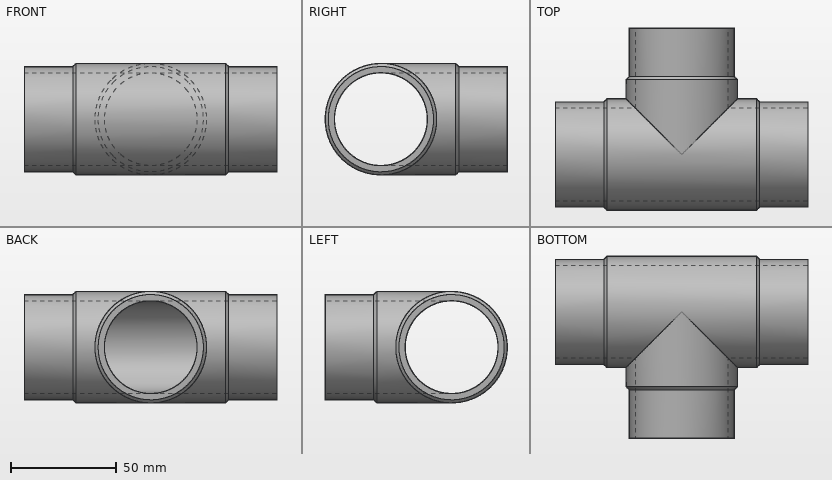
import cadquery as cq

end_reach = 60.0
body_radius = 26.5
spigot_radius = 25.0
bore_radius = 22.0
spigot_length = 23.0

shoulder_length = body_radius - spigot_radius
spigot_start = end_reach - spigot_length
body_end = spigot_start - shoulder_length


def run_outside():
    """Solid run along X, with a shoulder and spigot at both ends."""
    profile = [
        (-end_reach, 0),
        (-end_reach, spigot_radius),
        (-spigot_start, spigot_radius),
        (-body_end, body_radius),
        (body_end, body_radius),
        (spigot_start, spigot_radius),
        (end_reach, spigot_radius),
        (end_reach, 0),
    ]
    return cq.Workplane("XY").polyline(profile).close().revolve(360, (0, 0, 0), (1, 0, 0))


def branch_outside():
    """Solid branch along +Y, from the tee centre to its spigot end."""
    profile = [
        (0, 0),
        (body_radius, 0),
        (body_radius, body_end),
        (spigot_radius, spigot_start),
        (spigot_radius, end_reach),
        (0, end_reach),
    ]
    return cq.Workplane("XY").polyline(profile).close().revolve(360, (0, 0, 0), (0, 1, 0))


def run_bore():
    """Through bore of the run."""
    return cq.Workplane("YZ").circle(bore_radius).extrude(end_reach, both=True)


def branch_bore():
    """Bore of the branch, opening into the run bore."""
    return cq.Workplane("XZ").circle(bore_radius).extrude(-end_reach)


outside = run_outside().union(branch_outside())
result = outside.cut(run_bore()).cut(branch_bore())